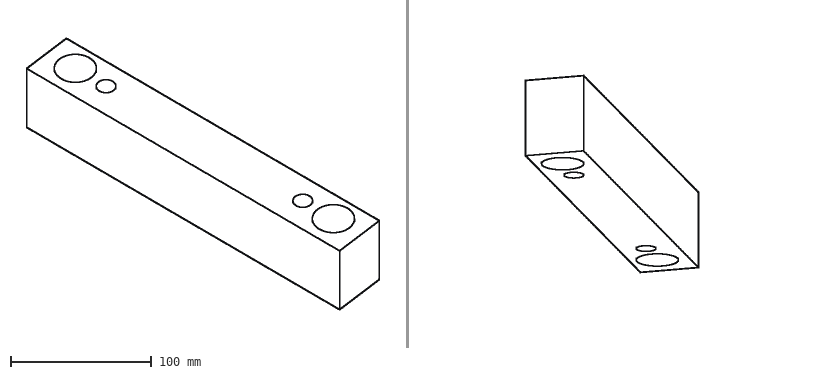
import cadquery as cq

length = 296.0
width = 43.0
height = 56.0

large_diameter = 30.0
large_spacing = 244.0
small_diameter = 14.0
small_spacing = 186.0

hole_line_from_back = 20.0
hole_line_y = width / 2 - hole_line_from_back


def drill_pair(body, diameter, spacing):
    """Drill two through holes, one on each side of the middle."""
    centers = [(side * spacing / 2, hole_line_y) for side in (-1, 1)]
    return body.faces(">Z").workplane(origin=(0, 0, 0)).pushPoints(centers).hole(diameter)


bar = cq.Workplane("XY").box(length, width, height)
bar = drill_pair(bar, large_diameter, large_spacing)
result = drill_pair(bar, small_diameter, small_spacing)